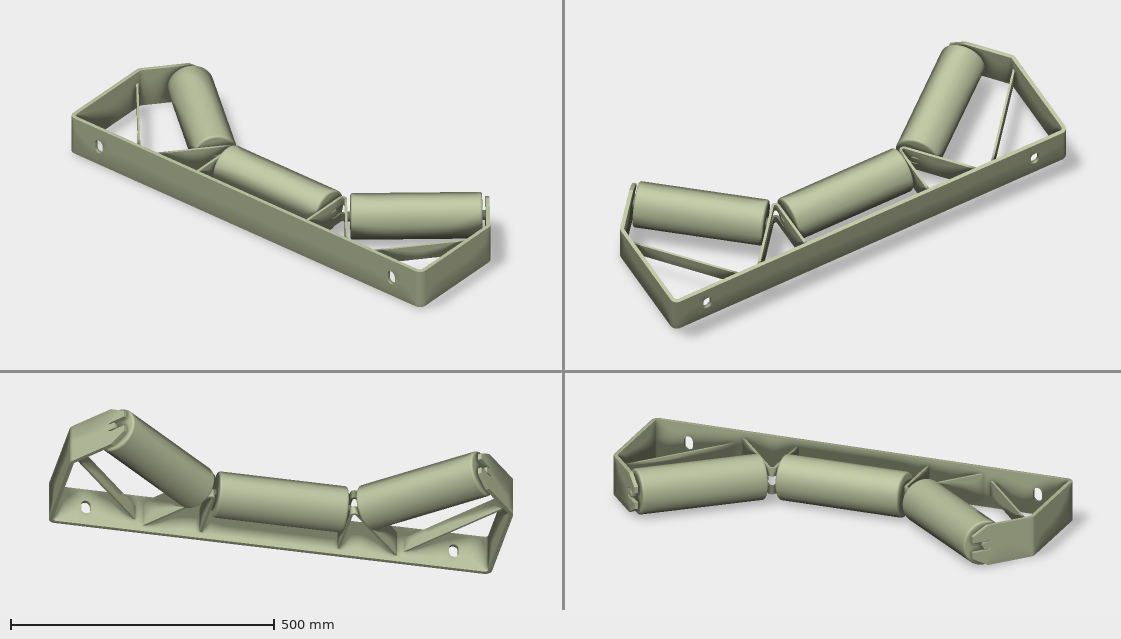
import math

import cadquery as cq

frame_length = 860.0
frame_height = 80.0
frame_thickness = 8.0
frame_bend = 14.0
arm_tip_past_axle = 32.0
arm_tip_width = 45.0
arm_taper_length = 32.0
trough_angle = 40.0

mount_width = 18.0
mount_height = 28.0
mount_x = 357.0

roller_length = 250.0
roller_diameter = 89.0
roller_rounding = 4.0
axle_diameter = 20.0
axle_flat_width = 13.0
slot_reach = 52.0
end_gap = 6.0
middle_roller_y = 101.0
side_roller_x = 261.0
side_roller_y = 195.0

bracket_thickness = 5.0
bracket_height = 53.0
bracket_bend = 9.0

brace_thickness = 4.0
brace_height = 30.0
brace_base_x = 263.0

tilt = math.radians(trough_angle)
axis_dir = cq.Vector(math.cos(tilt), math.sin(tilt), 0)
along_arm = cq.Vector(-math.sin(tilt), math.cos(tilt), 0)
side_roller_centre = cq.Vector(side_roller_x, side_roller_y, 0)
middle_roller_centre = cq.Vector(0, middle_roller_y, 0)
plate_distance = roller_length / 2 + end_gap
wall_x = frame_length / 2
arm_axle_point = side_roller_centre + axis_dir * (plate_distance + frame_thickness)


def point_at_x(point, direction, x):
    """Point at a given X on the line through `point` along `direction`."""
    return point + direction * ((x - point.x) / direction.x)


def point_at_y(point, direction, y):
    """Point at a given Y on the line through `point` along `direction`."""
    return point + direction * ((y - point.y) / direction.y)


def plate(points, height):
    """Upright plate with the given outline in XY, centred on Z = 0."""
    outline = [(p.x, p.y) for p in points]
    return cq.Workplane("XY").workplane(offset=-height / 2).polyline(outline).close().extrude(height)


def round_bend(body, corner, radius):
    """Round the upright edge that passes through `corner`."""
    edge = cq.selectors.NearestToPointSelector((corner.x, corner.y, 0))
    return body.edges("|Z").edges(edge).fillet(radius)


def mirrored(body):
    return body.mirror("YZ")


def place_on_axis(body, centre, slot_dir, axle_dir):
    """Move a body built along Z at the origin so its Z lies along `axle_dir` and its X along `slot_dir`."""
    plane = cq.Plane(centre.toTuple(), slot_dir.toTuple(), axle_dir.toTuple())
    return cq.Workplane(body.val().moved(cq.Location(plane)))


def on_side_axis(body):
    return place_on_axis(body, side_roller_centre, along_arm, axis_dir)


def on_middle_axis(body):
    return place_on_axis(body, middle_roller_centre, cq.Vector(0, 1, 0), cq.Vector(1, 0, 0))


def axle_slot(start, depth):
    """Round-bottomed slot along Z, open toward +X, that takes an axle end."""
    bottom = cq.Workplane("XY").workplane(offset=start).circle(axle_diameter / 2).extrude(depth)
    mouth = (
        cq.Workplane("XY")
        .workplane(offset=start)
        .rect(slot_reach, axle_diameter)
        .extrude(depth)
        .translate((slot_reach / 2, 0, 0))
    )
    return bottom.union(mouth)


def make_roller(first_plate, second_plate):
    """Roller along Z; its axle passes through plates of the given thicknesses."""
    drum = (
        cq.Workplane("XY")
        .workplane(offset=-roller_length / 2)
        .circle(roller_diameter / 2)
        .extrude(roller_length)
        .edges("%CIRCLE")
        .fillet(roller_rounding)
    )
    axle_start = -plate_distance - first_plate
    axle_end = plate_distance + second_plate
    axle = (
        cq.Workplane("XY")
        .workplane(offset=axle_start)
        .circle(axle_diameter / 2)
        .extrude(axle_end - axle_start)
        .intersect(cq.Workplane("XY").box(axle_diameter, axle_flat_width, 2 * axle_end))
    )
    return drum.union(axle)


right_roller = on_side_axis(make_roller(bracket_thickness, frame_thickness))
middle_roller = on_middle_axis(make_roller(bracket_thickness, bracket_thickness))


def make_frame():
    tip_outer = arm_axle_point + along_arm * arm_tip_past_axle
    tip_inner = tip_outer - axis_dir * frame_thickness
    bend_outer = point_at_x(tip_outer, along_arm, wall_x)
    bend_inner = point_at_x(tip_inner, along_arm, wall_x - frame_thickness)
    corner_outer = cq.Vector(wall_x, 0, 0)
    corner_inner = cq.Vector(wall_x - frame_thickness, frame_thickness, 0)
    half = plate(
        [
            cq.Vector(0, 0, 0),
            corner_outer,
            bend_outer,
            tip_outer,
            tip_inner,
            bend_inner,
            corner_inner,
            cq.Vector(0, frame_thickness, 0),
        ],
        frame_height,
    )
    for corner in (corner_outer, bend_outer):
        half = round_bend(half, corner, frame_bend)
    for corner in (corner_inner, bend_inner):
        half = round_bend(half, corner, frame_bend - frame_thickness)

    half = half.cut(arm_taper()).cut(on_side_axis(axle_slot(plate_distance, frame_thickness)))
    mount = (
        cq.Workplane("XZ")
        .center(mount_x, 0)
        .slot2D(mount_height, mount_width, 90)
        .extrude(-frame_thickness)
    )
    half = half.cut(mount)
    return half.union(mirrored(half))


def arm_taper():
    """Waste at the two corners of the right arm tip."""
    tip = arm_tip_past_axle
    past_arm = plate_distance + 2 * frame_thickness
    corners = cq.Workplane("XY")
    for side in (-1, 1):
        waste = (
            cq.Workplane("XY")
            .polyline(
                [
                    (tip, side * arm_tip_width / 2),
                    (tip, side * frame_height / 2),
                    (tip - arm_taper_length, side * frame_height / 2),
                ]
            )
            .close()
            .extrude(past_arm)
        )
        corners = corners.add(on_side_axis(waste))
    return corners.combine()


def make_bracket():
    leg_outer_x = plate_distance
    leg_inner_x = leg_outer_x + bracket_thickness
    slope_outer = side_roller_centre - axis_dir * plate_distance
    slope_inner = slope_outer - axis_dir * bracket_thickness
    apex_outer = point_at_x(slope_outer, along_arm, leg_outer_x)
    apex_inner = point_at_x(slope_inner, along_arm, leg_inner_x)
    body = plate(
        [
            cq.Vector(leg_outer_x, frame_thickness, 0),
            apex_outer,
            point_at_y(slope_outer, along_arm, frame_thickness),
            point_at_y(slope_inner, along_arm, frame_thickness),
            apex_inner,
            cq.Vector(leg_inner_x, frame_thickness, 0),
        ],
        bracket_height,
    )
    body = round_bend(body, apex_outer, bracket_bend)
    body = round_bend(body, apex_inner, bracket_bend - bracket_thickness)
    slot_depth = 2 * bracket_thickness
    leg_slot = on_middle_axis(axle_slot(plate_distance, slot_depth))
    slope_slot = on_side_axis(axle_slot(-plate_distance - slot_depth, slot_depth))
    return body.cut(leg_slot).cut(slope_slot)


def make_brace():
    brace_dir = cq.Vector(math.sin(tilt), math.cos(tilt), 0)
    half_across = cq.Vector(math.cos(tilt), -math.sin(tilt), 0) * (brace_thickness / 2)
    foot = cq.Vector(brace_base_x, frame_thickness, 0)
    wall_face = wall_x - frame_thickness
    upper = foot - half_across
    lower = foot + half_across
    return plate(
        [
            point_at_y(upper, brace_dir, frame_thickness),
            point_at_y(lower, brace_dir, frame_thickness),
            point_at_x(lower, brace_dir, wall_face),
            point_at_x(upper, brace_dir, wall_face),
        ],
        brace_height,
    )


frame = make_frame()
side_bodies = []
for body in (right_roller, make_bracket(), make_brace()):
    side_bodies += [body.val(), mirrored(body).val()]

result = cq.Compound.makeCompound([frame.val(), middle_roller.val(), *side_bodies])